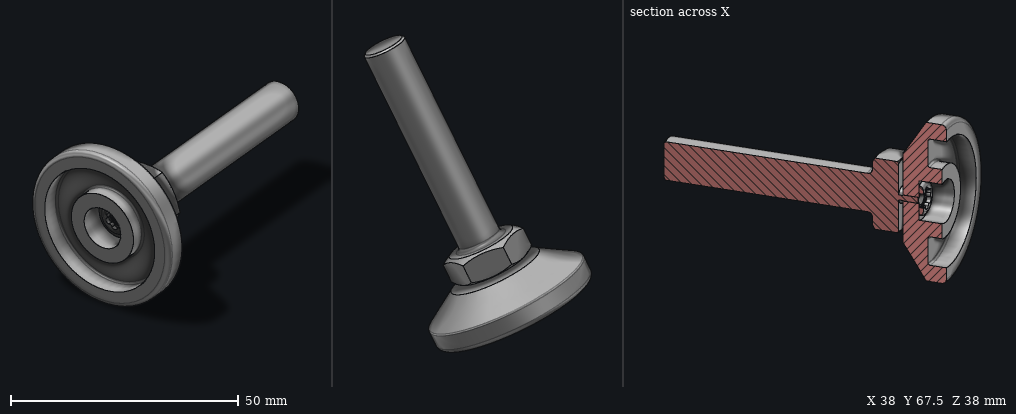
import cadquery as cq
import math

TOTAL_LENGTH = 67.5

FOOT_DIAMETER = 38.0
FOOT_RIM_HEIGHT = 4.9
FOOT_HEIGHT = 10.45
FOOT_TOP_DIAMETER = 21.6
FOOT_BASE_FILLET = 1.2
SMALL_FILLET = 0.5
RECESS_DIAMETER = 30.1
RECESS_DEPTH = 4.4
BOSS_DIAMETER = 17.0
BOSS_SETBACK = 1.0
BORE_DIAMETER = 10.0
BORE_FLOOR = 6.55

NECK_DIAMETER = 4.0
HEAD_DIAMETER = 7.95
HEAD_HEIGHT = 1.1
HEAD_FILLET = 1.0
HEX_SIDES = 6
HEX_ACROSS_FLATS = 17.0
HEX_BOTTOM = 11.4
HEX_TOP = 17.75
HEX_CORNER_ANGLE = 30.0
HEX_TOP_FACE_DIAMETER = 15.5
HEX_BOTTOM_FACE_DIAMETER = 16.6
SHANK_DIAMETER = 10.0
SHANK_ROOT_FILLET = 1.0
SHANK_CHAMFER = 0.5

SOCKET_OUTER_RADIUS = 2.55
SOCKET_INNER_RADIUS = 1.95
SOCKET_LOBES = 6
SOCKET_LOBE_HALF_ANGLE = math.radians(18)
SOCKET_DEPTH = 1.35
SOCKET_CONE_DIAMETER = 3.25
SOCKET_CONE_ANGLE = 120.0

HEAD_FACE = BORE_FLOOR - HEAD_HEIGHT


def turned(points):
    """Revolve a closed outline of (radius, height) points about the Y axis."""
    return cq.Workplane("XY").polyline(points).close().revolve(360, (0, 0, 0), (0, 1, 0))


def cylinder(diameter, bottom, top):
    """Round bar along Y between two heights."""
    return turned([(0, bottom), (diameter / 2, bottom), (diameter / 2, top), (0, top)])


def circle_at(diameter, height):
    """Selector for the circular edges up to the given diameter at the given height."""
    radius = diameter / 2
    tolerance = 0.035
    return cq.selectors.BoxSelector(
        (-radius - tolerance, height - tolerance, -radius - tolerance),
        (radius + tolerance, height + tolerance, radius + tolerance),
        boundingbox=True,
    )


def make_foot():
    rim_radius = FOOT_DIAMETER / 2
    recess_radius = RECESS_DIAMETER / 2
    boss_radius = BOSS_DIAMETER / 2
    bore_radius = BORE_DIAMETER / 2
    neck_radius = NECK_DIAMETER / 2
    foot = turned([
        (recess_radius, 0),
        (rim_radius, 0),
        (rim_radius, FOOT_RIM_HEIGHT),
        (FOOT_TOP_DIAMETER / 2, FOOT_HEIGHT),
        (neck_radius, FOOT_HEIGHT),
        (neck_radius, BORE_FLOOR),
        (bore_radius, BORE_FLOOR),
        (bore_radius, BOSS_SETBACK),
        (boss_radius, BOSS_SETBACK),
        (boss_radius, RECESS_DEPTH),
        (recess_radius, RECESS_DEPTH),
    ])
    foot = foot.edges(circle_at(FOOT_DIAMETER, FOOT_RIM_HEIGHT)).fillet(SMALL_FILLET)
    foot = foot.edges(circle_at(RECESS_DIAMETER, RECESS_DEPTH)).fillet(SMALL_FILLET)
    foot = foot.edges(circle_at(FOOT_DIAMETER, 0) - circle_at(RECESS_DIAMETER, 0)).fillet(FOOT_BASE_FILLET)
    return foot


def make_hexagon():
    corner_radius = HEX_ACROSS_FLATS / 2 / math.cos(math.pi / HEX_SIDES)
    slope = math.tan(math.radians(HEX_CORNER_ANGLE))
    top_radius = HEX_TOP_FACE_DIAMETER / 2
    bottom_radius = HEX_BOTTOM_FACE_DIAMETER / 2
    prism = (
        cq.Workplane("XZ", origin=(0, HEX_BOTTOM, 0))
        .polygon(HEX_SIDES, 2 * corner_radius)
        .extrude(HEX_BOTTOM - HEX_TOP)
    )
    corner_limit = turned([
        (0, HEX_BOTTOM),
        (bottom_radius, HEX_BOTTOM),
        (corner_radius, HEX_BOTTOM + slope * (corner_radius - bottom_radius)),
        (corner_radius, HEX_TOP - slope * (corner_radius - top_radius)),
        (top_radius, HEX_TOP),
        (0, HEX_TOP),
    ])
    return prism.intersect(corner_limit)


def make_socket():
    """Lobed recess, one lobe along +Z, with a conical bottom."""
    pitch = 2 * math.pi / SOCKET_LOBES
    middle_radius = (SOCKET_OUTER_RADIUS + SOCKET_INNER_RADIUS) / 2

    def at(radius, angle):
        return (radius * math.sin(angle), radius * math.cos(angle))

    start = at(middle_radius, -SOCKET_LOBE_HALF_ANGLE)
    outline = cq.Workplane("XZ", origin=(0, HEAD_FACE, 0)).moveTo(*start)
    for lobe in range(SOCKET_LOBES):
        angle = pitch * lobe
        lobe_tip = at(SOCKET_OUTER_RADIUS, angle)
        lobe_end = at(middle_radius, angle + SOCKET_LOBE_HALF_ANGLE)
        waist = at(SOCKET_INNER_RADIUS, angle + pitch / 2)
        next_lobe_start = at(middle_radius, angle + pitch - SOCKET_LOBE_HALF_ANGLE)
        outline = outline.threePointArc(lobe_tip, lobe_end).threePointArc(waist, next_lobe_start)
    lobes = outline.close().extrude(-SOCKET_DEPTH)

    cone_radius = SOCKET_CONE_DIAMETER / 2
    cone_base = HEAD_FACE + SOCKET_DEPTH
    cone_tip = cone_base + cone_radius / math.tan(math.radians(SOCKET_CONE_ANGLE / 2))
    cone = turned([(0, cone_base), (cone_radius, cone_base), (0, cone_tip)])
    return lobes.union(cone)


def make_head():
    """Round head that rests on the bore floor, with a domed rim."""
    head = cylinder(HEAD_DIAMETER, HEAD_FACE, BORE_FLOOR)
    return head.faces("<Y").edges().fillet(HEAD_FILLET)


def make_hexagon_with_shank():
    shank = cylinder(SHANK_DIAMETER, HEX_TOP, TOTAL_LENGTH).faces(">Y").chamfer(SHANK_CHAMFER)
    body = make_hexagon().union(shank)
    return body.edges(circle_at(SHANK_DIAMETER, HEX_TOP)).fillet(SHANK_ROOT_FILLET)


def make_stud():
    neck = cylinder(NECK_DIAMETER, BORE_FLOOR, HEX_BOTTOM)
    return make_hexagon_with_shank().union(neck).union(make_head()).cut(make_socket())


foot = make_foot()
stud = make_stud()

result = cq.Compound.makeCompound([foot.val(), stud.val()])